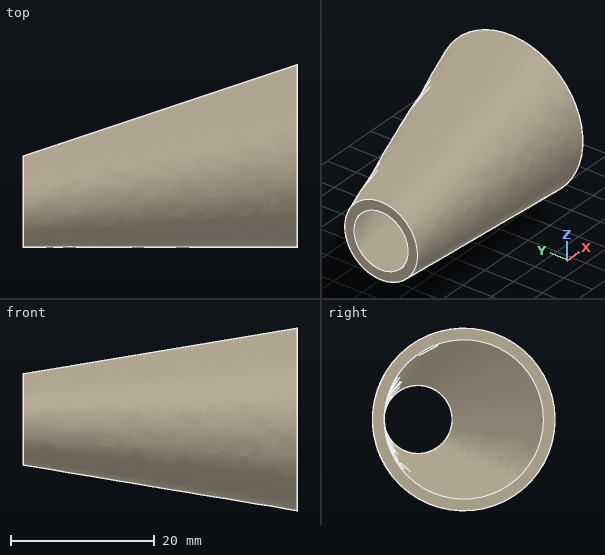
import cadquery as cq

length = 38.1
large_diameter = 25.4
small_diameter = large_diameter / 2
wall = 1.65

small_end_y = -(large_diameter - small_diameter) / 2


def eccentric_cone(start_diameter, end_diameter):
    """Ruled solid from the small end at X = 0 to the large end at X = length."""
    return (
        cq.Workplane("YZ")
        .center(small_end_y, 0)
        .circle(start_diameter / 2)
        .workplane(offset=length)
        .center(-small_end_y, 0)
        .circle(end_diameter / 2)
        .loft(ruled=True)
    )


outside = eccentric_cone(small_diameter, large_diameter)
bore = eccentric_cone(small_diameter - 2 * wall, large_diameter - 2 * wall)
result = outside.cut(bore)